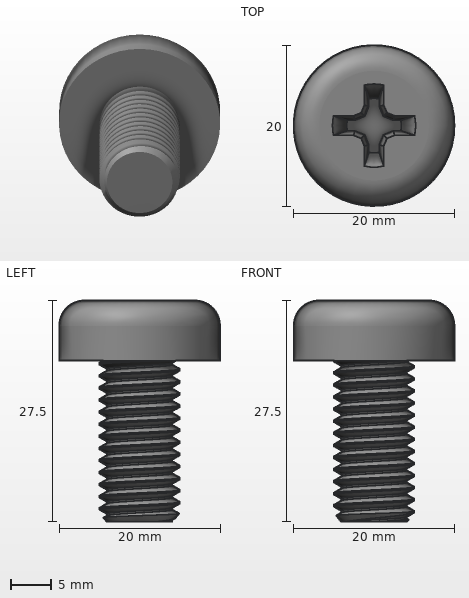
import cadquery as cq
import math

total_length = 27.5
head_diameter = total_length * 8 / 11
head_height = head_diameter * 3 / 8
head_edge_radius = 3.2

shank_diameter = head_diameter / 2
shank_length = total_length - head_height

pitch = shank_diameter * 0.15
thread_depth = 0.6134 * pitch
crest_flat = pitch / 8
flank_half_angle = math.radians(30)
root_radius = shank_diameter / 2 - thread_depth
ridge_embedding = 0.05
envelope_margin = 0.28

tip_diameter = 8.15
tip_chamfer_height = 1.15

recess_depth = 4.4
recess_top_radius = 5.17
recess_floor_radius = 3.38
arm_top_half_width = 1.2
arm_floor_half_width = 0.63
corner_top_offset = 1.6
corner_floor_offset = 1.15
corner_slope = math.tan(math.radians(22.5))


def make_head():
    head = cq.Workplane("XY").workplane(offset=shank_length).circle(head_diameter / 2).extrude(head_height)
    return head.faces(">Z").edges().fillet(head_edge_radius)


def make_ridge():
    """Solid thread ridge whose turns run past both ends of the shank."""
    crest_radius = shank_diameter / 2
    foot_radius = root_radius - ridge_embedding
    crest_half = crest_flat / 2
    foot_half = crest_half + (crest_radius - foot_radius) * math.tan(flank_half_angle)

    turns = math.ceil(shank_length / pitch) + 2
    start_height = shank_length - (turns - 1.5) * pitch
    profile = [
        (foot_radius, -foot_half),
        (crest_radius, -crest_half),
        (crest_radius, crest_half),
        (foot_radius, foot_half),
    ]
    helices = []
    for radius, height in profile:
        helix = cq.Wire.makeHelix(pitch, turns * pitch, radius)
        helices.append(helix.translate(cq.Vector(0, 0, start_height + height)))

    faces = []
    for index, helix in enumerate(helices):
        faces.append(cq.Face.makeRuledSurface(helices[index - 1], helix))
    for end_height in (start_height, start_height + turns * pitch):
        corners = [cq.Vector(radius, 0, end_height + height) for radius, height in profile]
        faces.append(cq.Face.makeFromWires(cq.Wire.makePolygon(corners, close=True)))
    return cq.Workplane(cq.Solid.makeSolid(cq.Shell.makeShell(faces)))


def make_tip_envelope():
    """Cone-ended cylinder that trims the thread at the tip and at the underside of the head."""
    tip_radius = tip_diameter / 2
    envelope_radius = shank_diameter / 2 + envelope_margin
    taper = (shank_diameter / 2 - tip_radius) / tip_chamfer_height
    taper_height = (envelope_radius - tip_radius) / taper
    outline = [
        (0, 0),
        (tip_radius, 0),
        (envelope_radius, taper_height),
        (envelope_radius, shank_length),
        (0, shank_length),
    ]
    return cq.Workplane("XZ").polyline(outline).close().revolve(360, (0, 0), (0, 1))


def make_threaded_shank():
    core = cq.Workplane("XY").circle(root_radius).extrude(shank_length)
    ridge = make_ridge().intersect(make_tip_envelope())
    return core.intersect(make_tip_envelope()).union(ridge)


def cross_outline(half_width, corner_offset, reach):
    """Points of a four-armed cross with bevelled inner corners."""
    knee = corner_offset + (corner_offset - half_width) / corner_slope
    arm = [
        (reach, -half_width),
        (reach, half_width),
        (knee, half_width),
        (corner_offset, corner_offset),
        (half_width, knee),
    ]
    points = []
    for quarter in range(4):
        for x, y in arm:
            for _ in range(quarter):
                x, y = -y, x
            points.append((x, y))
    return points


def make_recess():
    """Tapered cross whose arm ends lie on a cone."""
    floor_height = total_length - recess_depth
    floor = cq.Workplane("XY").workplane(offset=floor_height)
    cross = (
        floor.polyline(cross_outline(arm_floor_half_width, corner_floor_offset, head_diameter / 2))
        .close()
        .workplane(offset=recess_depth)
        .polyline(cross_outline(arm_top_half_width, corner_top_offset, head_diameter / 2))
        .close()
        .loft(ruled=True)
    )
    cone = (
        floor.circle(recess_floor_radius)
        .workplane(offset=recess_depth)
        .circle(recess_top_radius)
        .loft()
    )
    return cross.intersect(cone)


result = make_head().cut(make_recess()).union(make_threaded_shank())